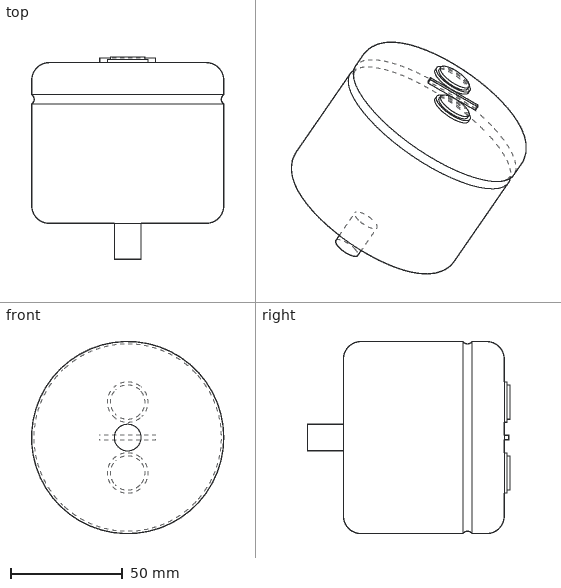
import cadquery as cq

total_length = 90.5
can_diameter = 86.0
stud_length = 16.0
stud_diameter = 11.95
edge_radius = 8.0

groove_width = 4.2
groove_depth = 1.1
groove_setback = 16.5

flange_diameter = 18.1
flange_height = 1.3
contact_diameter = 15.4
contact_height = 1.3
terminal_spacing = 31.7

rib_length = 25.0
rib_thickness = 2.2
rib_height = 2.0

can_radius = can_diameter / 2
terminal_height = flange_height + contact_height
can_length = total_length - stud_length - terminal_height
can_front = -can_length / 2
can_rear = can_length / 2
groove_center = can_rear - groove_setback
groove_front = groove_center - groove_width / 2
groove_rear = groove_center + groove_width / 2


def disc(diameter, start, height, z=0.0):
    """Cylinder along +Y starting at the given Y, centred on x = 0 and the given Z."""
    axis_start = cq.Vector(0, start, z)
    axis_direction = cq.Vector(0, 1, 0)
    return cq.Workplane(cq.Solid.makeCylinder(diameter / 2, height, axis_start, axis_direction))


def grooved_can():
    """Can revolved about Y from its half profile, with round ends and an arc groove."""
    end_face_radius = can_radius - edge_radius
    return (
        cq.Workplane("XY")
        .moveTo(0, can_front)
        .lineTo(end_face_radius, can_front)
        .tangentArcPoint((can_radius, can_front + edge_radius), relative=False)
        .lineTo(can_radius, groove_front)
        .threePointArc((can_radius - groove_depth, groove_center), (can_radius, groove_rear))
        .lineTo(can_radius, can_rear - edge_radius)
        .tangentArcPoint((end_face_radius, can_rear), relative=False)
        .lineTo(0, can_rear)
        .close()
        .revolve(360, (0, 0, 0), (0, 1, 0))
    )


def terminal(z):
    """Wide flange on the can end carrying a narrower contact disc."""
    flange = disc(flange_diameter, can_rear, flange_height, z)
    contact = disc(contact_diameter, can_rear + flange_height, contact_height, z)
    return flange.union(contact)


def rib():
    """Flat bar across the can end, midway between the terminals."""
    return (
        cq.Workplane("XY")
        .box(rib_length, rib_height, rib_thickness)
        .translate((0, can_rear + rib_height / 2, 0))
    )


stud = disc(stud_diameter, can_front - stud_length, stud_length)

result = grooved_can().union(stud).union(rib())
for side in (-1, 1):
    result = result.union(terminal(side * terminal_spacing / 2))